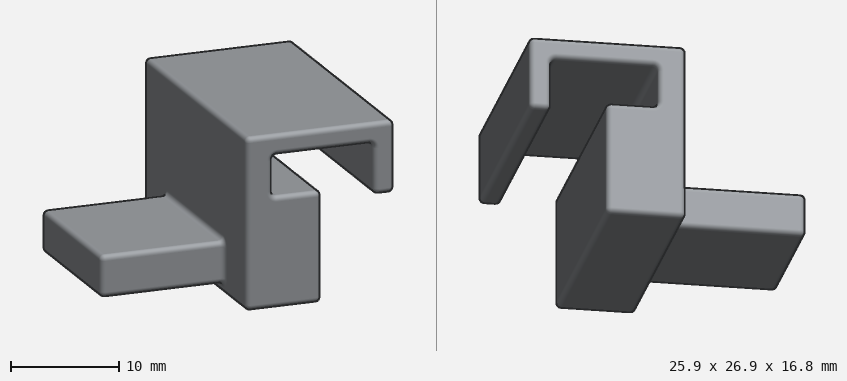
import cadquery as cq

width = 25.9
overall_depth = 26.9
height = 16.8

body_depth = 14.63
plate_thickness = 2.0
lip_height = 7.0
slot_height = 4.0
wall_thickness = 2.55
block_depth = 7.42

tongue_width = 15.0
tongue_thickness = 4.1

edge_radius = 0.5
tongue_bottom = 2 * edge_radius + 0.05

tongue_end_y = -overall_depth / 2
back_y = overall_depth / 2
wall_y = back_y - body_depth
slot_top = height - plate_thickness
slot_bottom = slot_top - slot_height
lip_bottom = height - lip_height
lip_inner_y = back_y - plate_thickness


def make_body():
    profile = [
        (wall_y, 0),
        (wall_y, height),
        (back_y, height),
        (back_y, lip_bottom),
        (lip_inner_y, lip_bottom),
        (lip_inner_y, slot_top),
        (wall_y + wall_thickness, slot_top),
        (wall_y + wall_thickness, slot_bottom),
        (wall_y + block_depth, slot_bottom),
        (wall_y + block_depth, 0),
    ]
    return cq.Workplane("YZ").polyline(profile).close().extrude(width / 2, both=True)


def make_tongue():
    length = wall_y + wall_thickness - tongue_end_y
    return (
        cq.Workplane("XY")
        .box(tongue_width, length, tongue_thickness, centered=(True, False, False))
        .translate((0, tongue_end_y, tongue_bottom))
    )


result = make_body().union(make_tongue()).edges().fillet(edge_radius)